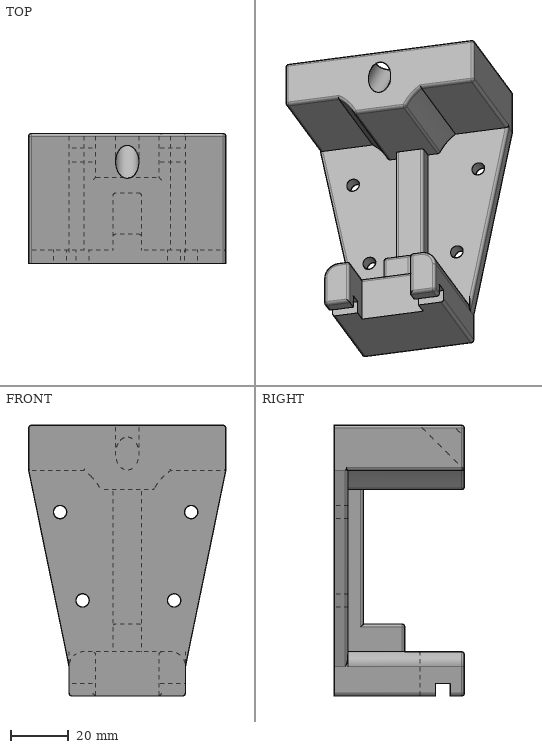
import cadquery as cq

height = 93.5
depth = 45.0
edge_radius = 1.0

plate_thickness = 4.8
screw_hole_diameter = 4.5
upper_screw_spacing = 45.2
upper_screw_offset = -0.6
upper_screw_height = 63.5
lower_screw_spacing = 31.6
lower_screw_offset = 0.4
lower_screw_height = 33.0

hood_width = 68.0
hood_bottom = 77.8

keel_bottom = 71.2
keel_root_width = 29.9
keel_tip_width = 18.3
flank_radius = 16.4

shelf_width = 40.2
shelf_top = 15.3
shelf_edge_radius = 5.1
fork_gap = 22.0
fork_root = 29.7
notch_start = 35.05
notch_width = 5.0
notch_height = 4.3

spine_width = 10.0
spine_depth = 10.2
step_depth = 24.4
step_top = 24.9

peg_hole_diameter = 8.0
peg_hole_y = 35.1
peg_hole_tilt = 45.0


def block(width, y_start, y_end, z_start, z_end):
    """Box centred on X = 0 between the given Y and Z limits."""
    return cq.Workplane("XY").box(
        width, y_end - y_start, z_end - z_start, centered=(True, False, False)
    ).translate((0, y_start, z_start))


def extrude_along_y(sketch, length):
    """Extrude a closed XZ outline from the back face towards +Y."""
    return sketch.close().extrude(-length)


def make_plate():
    """Plate with corners rounded top and bottom, and rounded inner edges along both tapers."""
    top_half = hood_width / 2
    bottom_half = shelf_width / 2
    taper_start = shelf_top - shelf_edge_radius
    outline = cq.Workplane("XZ").polyline([
        (-bottom_half, 0),
        (bottom_half, 0),
        (bottom_half, taper_start),
        (top_half, hood_bottom),
        (top_half, height),
        (-top_half, height),
        (-top_half, hood_bottom),
        (-bottom_half, taper_start),
    ])
    plate = extrude_along_y(outline, plate_thickness)
    plate = plate.edges("|Y and (<Z or >Z)").fillet(edge_radius)
    tapered_edges = cq.selectors.BoxSelector(
        (-top_half, plate_thickness - edge_radius / 2, taper_start + edge_radius),
        (top_half, plate_thickness + edge_radius / 2, hood_bottom - edge_radius),
    )
    return plate.edges(tapered_edges).fillet(edge_radius)


def make_hood():
    """Hood and keel together, so that one rounded edge runs around the free end."""
    side = hood_width / 2
    root = keel_root_width / 2
    tip = keel_tip_width / 2
    outline = (
        cq.Workplane("XZ")
        .moveTo(-side, height)
        .lineTo(-side, hood_bottom)
        .lineTo(-root, hood_bottom)
        .radiusArc((-tip, keel_bottom), flank_radius)
        .lineTo(tip, keel_bottom)
        .radiusArc((root, hood_bottom), flank_radius)
        .lineTo(side, hood_bottom)
        .lineTo(side, height)
    )
    hood = extrude_along_y(outline, depth)
    hood = hood.edges("|Y and (<X or >X or <Z)").fillet(edge_radius)
    return hood.faces(">Y").edges().fillet(edge_radius)


def make_shelf():
    """Shelf with rounded shoulders, an open gap in its free end and a notch across its underside."""
    shelf = block(shelf_width, 0, depth, 0, shelf_top)
    shelf = shelf.edges("|Y and >Z").fillet(shelf_edge_radius)
    shelf = shelf.edges("|Y and <Z").fillet(edge_radius)
    shelf = shelf.cut(block(fork_gap, fork_root, depth, 0, shelf_top))
    gap_rim = cq.selectors.BoxSelector(
        (-fork_gap / 2 - edge_radius, fork_root - edge_radius, shelf_top - edge_radius),
        (fork_gap / 2 + edge_radius, depth - edge_radius, shelf_top + edge_radius),
    )
    free_end = cq.selectors.StringSyntaxSelector(">Y")
    shelf = shelf.edges(gap_rim + free_end).fillet(edge_radius)
    notch_end = notch_start + notch_width
    return shelf.cut(block(shelf_width, notch_start, notch_end, 0, notch_height))


def make_spine():
    """Stepped rib whose foot is buried in the shelf and whose head is buried in the keel."""
    foot = shelf_top / 2
    outline = cq.Workplane("YZ").polyline([
        (0, foot),
        (step_depth, foot),
        (step_depth, step_top),
        (spine_depth, step_top),
        (spine_depth, hood_bottom),
        (0, hood_bottom),
    ])
    spine = outline.close().extrude(spine_width).translate((-spine_width / 2, 0, 0))
    spine = spine.edges("|X and >Y").fillet(edge_radius)
    return spine.faces("<X or >X").edges().fillet(edge_radius)


def make_screw_holes():
    """Two pairs of straight holes through the plate, each pair slightly off centre in X."""
    upper_reach = upper_screw_spacing / 2
    lower_reach = lower_screw_spacing / 2
    centres = []
    for side in (-1, 1):
        centres.append((upper_screw_offset + side * upper_reach, upper_screw_height))
        centres.append((lower_screw_offset + side * lower_reach, lower_screw_height))
    holes = cq.Workplane("XZ").pushPoints(centres).circle(screw_hole_diameter / 2)
    return holes.extrude(-plate_thickness)


def make_peg_hole():
    """Slanted hole from the top of the hood out through its free end."""
    peg = cq.Workplane("XY").cylinder(2 * depth, peg_hole_diameter / 2)
    return peg.rotate((0, 0, 0), (1, 0, 0), peg_hole_tilt).translate((0, peg_hole_y, height))


result = (
    make_plate()
    .union(make_hood())
    .union(make_shelf())
    .union(make_spine())
    .cut(make_screw_holes())
    .cut(make_peg_hole())
)